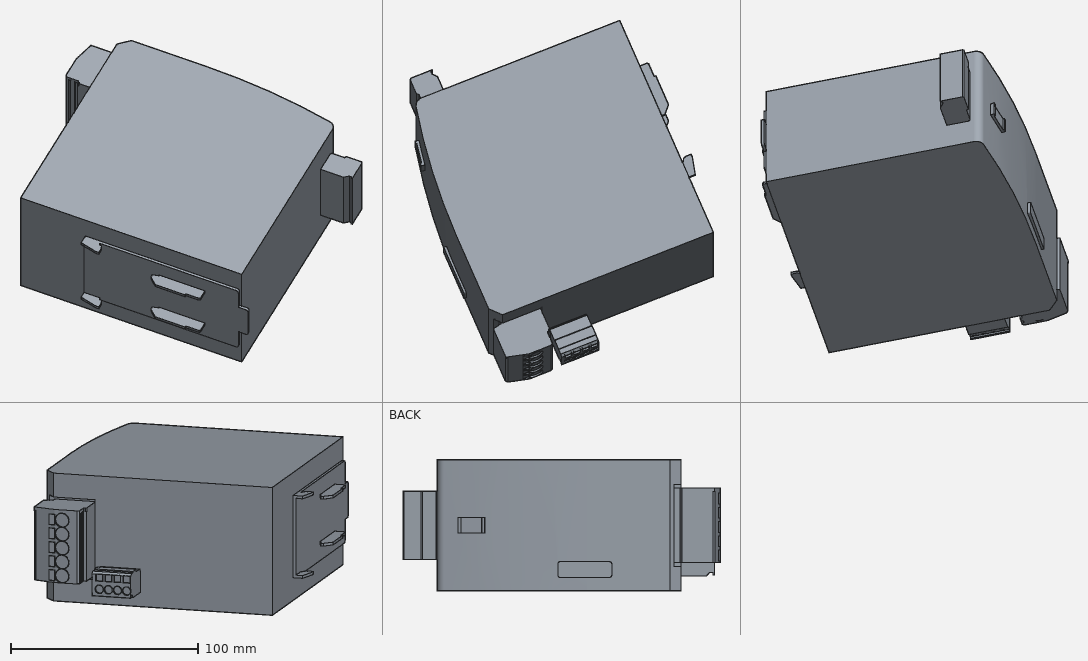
import cadquery as cq
import math

HOUSING_WIDTH = 130.3
HOUSING_DEPTH = 127.5
HOUSING_HEIGHT = 70.0
MID_HEIGHT = HOUSING_HEIGHT / 2
CHAMFER_X = 6.0
CHAMFER_Y = 5.5
CURVE_START_X = 50.0
CURVE_DROP = 9.0
FRONT_CORNER_RADIUS = 4.5
EMBED = 1.0

POWER_REACH = 20.92
POWER_POLES = 5
POWER_PITCH = 7.62
POWER_BOTTOM = 15.0
POWER_END_PLATE = 1.9
POWER_TOP = POWER_BOTTOM + POWER_POLES * POWER_PITCH + POWER_END_PLATE
POWER_SIDE_Y = 99.8
POWER_LIP_Y = 101.4
POWER_LIP_X = -13.0
POWER_GROOVE_Y = 102.6
POWER_POLE_CORNER = 1.0
POWER_BEND_Y = 115.2
POWER_FRONT_X = -17.9
POWER_RECESS_CLEARANCE = 1.9
POWER_RECESS_MIN_Y = 99.1
POWER_RECESS_MAX_Y = 125.5
POWER_HOLE_DIAMETER = 7.6
POWER_HOLE_Y = 111.1
POWER_SLOT_HEIGHT = 5.8
POWER_SLOT_LENGTH = 3.3
OPENING_DEPTH = 1.1

SIGNAL_REACH = 17.9
SIGNAL_POLES = 4
SIGNAL_PITCH = 5.08
SIGNAL_MIN_Y = 73.6
SIGNAL_MAX_Y = 95.2
SIGNAL_FIRST_POLE_Y = 76.0
SIGNAL_HOLE_DIAMETER = 4.5
SIGNAL_HOLE_Z = 12.2
SIGNAL_SLOT_WIDTH = 3.8
SIGNAL_SLOT_MIN_Z = 16.6
SIGNAL_FACE_TOP_Z = 20.4

OUTPUT_REACH = 18.1
OUTPUT_HEIGHT = 36.6

PLATE_MIN_X = 38.2
PLATE_MAX_X = 129.0
PLATE_HEIGHT = 45.0
PLATE_THICKNESS = 1.6
PLATE_CORNER_RADIUS = 1.5
TAB_LENGTH = 5.7
TAB_HEIGHT = 19.6
TAB_CORNER_RADIUS = 1.5
CLIP_SHEET = 1.5
RIB_OFFSET = 12.85
RIB_REACH = 8.7
HOOK_REACH = 7.8

LABEL_MIN_X = 37.0
LABEL_MAX_X = 65.8
LABEL_MIN_Z = 7.1
LABEL_MAX_Z = 15.6
LABEL_RISE = 1.3
LABEL_CORNER_RADIUS = 1.3
COVER_X = 104.6
COVER_LENGTH = 14.4
COVER_RISE = 1.5
COVER_RIDGE_RISE = 0.7
COVER_RIDGE_WIDTH = 1.6
COVER_HEIGHT = LABEL_MAX_Z - LABEL_MIN_Z


def prism_z(points, bottom, top):
    """Outline in X, Y extruded along Z."""
    return cq.Workplane("XY").workplane(offset=bottom).polyline(points).close().extrude(top - bottom)


def block(x_range, y_range, z_range):
    """Rectangular block between pairs of limits."""
    size = [high - low for low, high in (x_range, y_range, z_range)]
    return cq.Workplane("XY").box(*size, centered=False).translate((x_range[0], y_range[0], z_range[0]))


def cylinder_x(x_start, length, y, z, diameter):
    """Cylinder pointing toward +X."""
    return cq.Workplane("YZ", origin=(x_start, y, z)).circle(diameter / 2).extrude(length)


CURVE_RUN = HOUSING_WIDTH - CURVE_START_X
CURVE_RADIUS = (CURVE_RUN ** 2 + CURVE_DROP ** 2) / (2 * CURVE_DROP)


def front_curve_y(x):
    """Y of the curved front at a given X."""
    return HOUSING_DEPTH - CURVE_RADIUS + math.sqrt(CURVE_RADIUS ** 2 - (x - CURVE_START_X) ** 2)


def make_housing():
    curve_mid_x = CURVE_START_X + CURVE_RUN / 2
    body = (
        cq.Workplane("XY")
        .lineTo(HOUSING_WIDTH, 0)
        .lineTo(HOUSING_WIDTH, HOUSING_DEPTH - CURVE_DROP)
        .threePointArc((curve_mid_x, front_curve_y(curve_mid_x)), (CURVE_START_X, HOUSING_DEPTH))
        .lineTo(CHAMFER_X, HOUSING_DEPTH)
        .lineTo(0, HOUSING_DEPTH - CHAMFER_Y)
        .close()
        .extrude(HOUSING_HEIGHT)
    )
    front_corner = (HOUSING_WIDTH, HOUSING_DEPTH - CURVE_DROP, MID_HEIGHT)
    return body.edges(cq.NearestToPointSelector(front_corner)).fillet(FRONT_CORNER_RADIUS)


POWER_RECESS_DEPTH = CHAMFER_X * (POWER_RECESS_MAX_Y - HOUSING_DEPTH + CHAMFER_Y) / CHAMFER_Y


def make_power_recess():
    """Opening in the -X face that leaves a gap around the power connector."""
    return block(
        (-EMBED, POWER_RECESS_DEPTH),
        (POWER_RECESS_MIN_Y, HOUSING_DEPTH),
        (POWER_BOTTOM - POWER_RECESS_CLEARANCE, POWER_TOP + POWER_RECESS_CLEARANCE),
    )


def power_slope_x(y):
    """X of the sloping outer face at a given Y."""
    fraction = (y - POWER_BEND_Y) / (HOUSING_DEPTH - POWER_BEND_Y)
    return -POWER_REACH + fraction * (POWER_FRONT_X + POWER_REACH)


def make_power_connector():
    inner_x = POWER_RECESS_DEPTH + EMBED
    neck_y = 122.5
    inner_end = [
        (inner_x, POWER_SIDE_Y),
        (inner_x, neck_y),
        (0.7, neck_y),
        (-0.5, HOUSING_DEPTH),
    ]
    outer_edge = [(-POWER_REACH, POWER_GROOVE_Y), (-20.2, POWER_LIP_Y)]
    step_y = (POWER_LIP_Y + POWER_SIDE_Y) / 2
    end_plate = prism_z(
        inner_end + [
            (POWER_FRONT_X, HOUSING_DEPTH),
            (-POWER_REACH, POWER_BEND_Y),
            *outer_edge,
            (POWER_LIP_X, POWER_LIP_Y),
            (POWER_LIP_X, step_y),
            (-12.2, step_y),
            (-12.2, POWER_SIDE_Y),
        ],
        POWER_TOP - POWER_END_PLATE, POWER_TOP,
    )
    pole_corner_y = HOUSING_DEPTH - POWER_POLE_CORNER
    poles = prism_z(
        inner_end + [
            (-17.0, HOUSING_DEPTH),
            (power_slope_x(pole_corner_y), pole_corner_y),
            (-POWER_REACH, POWER_BEND_Y),
            *outer_edge,
            (-19.1, POWER_LIP_Y),
            (-19.1, POWER_GROOVE_Y),
            (-17.8, POWER_GROOVE_Y),
            (-17.8, POWER_LIP_Y),
            (-15.5, POWER_LIP_Y),
            (-15.5, POWER_GROOVE_Y),
            (-13.6, POWER_GROOVE_Y),
            (-13.6, POWER_LIP_Y),
            (POWER_LIP_X, POWER_LIP_Y),
            (POWER_LIP_X, POWER_SIDE_Y),
        ],
        POWER_BOTTOM, POWER_TOP - POWER_END_PLATE,
    )
    connector = end_plate.union(poles)
    for pole in range(POWER_POLES):
        z = POWER_BOTTOM + (pole + 0.5) * POWER_PITCH
        connector = connector.cut(
            cylinder_x(-POWER_REACH, OPENING_DEPTH, POWER_HOLE_Y, z, POWER_HOLE_DIAMETER))
        connector = connector.cut(block(
            (-POWER_REACH, -POWER_REACH + OPENING_DEPTH),
            (POWER_BEND_Y, POWER_BEND_Y + POWER_SLOT_LENGTH),
            (z - POWER_SLOT_HEIGHT / 2, z + POWER_SLOT_HEIGHT / 2)))
    return connector


def make_signal_connector():
    outline = [
        (EMBED, 7.9), (EMBED, 19.5), (-0.2, 19.5), (-1.2, 20.9), (-7.6, 20.9), (-8.3, 22.2),
        (-13.6, 22.2), (-13.6, 21.6), (-16.5, 21.6), (-SIGNAL_REACH, SIGNAL_FACE_TOP_Z),
        (-SIGNAL_REACH, 8.4), (-17.0, 8.4), (-17.0, 9.7), (-15.2, 9.7), (-13.6, 7.9),
    ]
    connector = (
        cq.Workplane("XZ", origin=(0, SIGNAL_MAX_Y, 0))
        .polyline(outline).close()
        .extrude(SIGNAL_MAX_Y - SIGNAL_MIN_Y)
    )
    for pole in range(SIGNAL_POLES):
        y = SIGNAL_FIRST_POLE_Y + pole * SIGNAL_PITCH
        connector = connector.cut(
            cylinder_x(-SIGNAL_REACH, OPENING_DEPTH, y, SIGNAL_HOLE_Z, SIGNAL_HOLE_DIAMETER))
        connector = connector.cut(block(
            (-SIGNAL_REACH, -SIGNAL_REACH + OPENING_DEPTH),
            (y - SIGNAL_SLOT_WIDTH / 2, y + SIGNAL_SLOT_WIDTH / 2),
            (SIGNAL_SLOT_MIN_Z, SIGNAL_FACE_TOP_Z)))
    return connector


def make_output_connector():
    outline = [(-EMBED, POWER_SIDE_Y), (13.4, POWER_SIDE_Y), (15.9, 101.9), (17.3, 101.9), (17.3, 101.0),
               (OUTPUT_REACH, 101.0), (OUTPUT_REACH, 113.2), (17.6, 114.0), (8.7, 114.0),
               (7.9, 112.9), (0.7, 112.9), (-0.3, 111.5), (-EMBED, 111.5)]
    points = [(HOUSING_WIDTH + x, y) for x, y in outline]
    return prism_z(points, MID_HEIGHT - OUTPUT_HEIGHT / 2, MID_HEIGHT + OUTPUT_HEIGHT / 2)


def make_rail_clip():
    plate_y = (-PLATE_THICKNESS, 0)
    plate = block(
        (PLATE_MIN_X, PLATE_MAX_X), plate_y,
        (MID_HEIGHT - PLATE_HEIGHT / 2, MID_HEIGHT + PLATE_HEIGHT / 2),
    ).edges("|Y and >X").fillet(PLATE_CORNER_RADIUS)
    tab = block(
        (PLATE_MAX_X - TAB_LENGTH, PLATE_MAX_X + TAB_LENGTH), plate_y,
        (MID_HEIGHT - TAB_HEIGHT / 2, MID_HEIGHT + TAB_HEIGHT / 2),
    ).edges("|Y and >X").fillet(TAB_CORNER_RADIUS)
    hook = [(PLATE_MIN_X, 0), (PLATE_MIN_X, -5.4), (48.0, -HOOK_REACH), (49.7, -HOOK_REACH),
            (49.7, -4.5), (49.0, -3.0), (47.4, -2.2), (47.4, 0)]
    rib = [(82.3, 0), (82.3, -2.1), (81.0, -2.5), (78.9, -3.0), (78.9, -4.6), (83.4, -RIB_REACH),
           (101.0, -RIB_REACH), (101.0, -HOOK_REACH), (108.7, -HOOK_REACH), (109.4, -7.1), (109.4, 0)]
    clip = plate.union(tab)
    hook_offset = (PLATE_HEIGHT - CLIP_SHEET) / 2
    for outline, offset in ((hook, hook_offset), (rib, RIB_OFFSET)):
        for side in (-1, 1):
            z = MID_HEIGHT + side * offset
            clip = clip.union(prism_z(outline, z - CLIP_SHEET / 2, z + CLIP_SHEET / 2))
    return clip


def make_label_plate():
    return block(
        (LABEL_MIN_X, LABEL_MAX_X),
        (HOUSING_DEPTH - EMBED, HOUSING_DEPTH + LABEL_RISE),
        (LABEL_MIN_Z, LABEL_MAX_Z),
    ).edges("|Y").fillet(LABEL_CORNER_RADIUS)


def make_front_cover():
    """Shallow cover with a ridge at each end, lying along the sloping front."""
    middle_x = COVER_X + COVER_LENGTH / 2
    slope = math.degrees(math.asin((middle_x - CURVE_START_X) / CURVE_RADIUS))
    ridge_top = COVER_RISE + COVER_RIDGE_RISE
    outline = [
        (0, -EMBED), (COVER_LENGTH, -EMBED),
        (COVER_LENGTH, ridge_top), (COVER_LENGTH - COVER_RIDGE_WIDTH, ridge_top),
        (COVER_LENGTH - COVER_RIDGE_WIDTH, COVER_RISE), (COVER_RIDGE_WIDTH, COVER_RISE),
        (COVER_RIDGE_WIDTH, ridge_top), (0, ridge_top),
    ]
    bottom = MID_HEIGHT - COVER_HEIGHT / 2
    cover = prism_z(outline, bottom, bottom + COVER_HEIGHT)
    return cover.rotate((0, 0, 0), (0, 0, 1), -slope).translate((COVER_X, front_curve_y(COVER_X), 0))


result = (
    make_housing()
    .cut(make_power_recess())
    .union(make_power_connector())
    .union(make_signal_connector())
    .union(make_output_connector())
    .union(make_rail_clip())
    .union(make_label_plate())
    .union(make_front_cover())
)